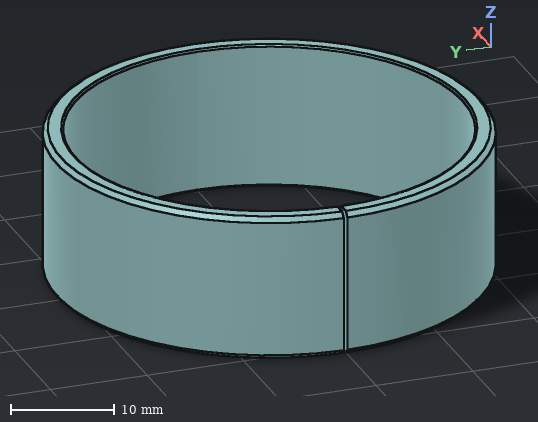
import cadquery as cq
import math

outer_diameter = 44.0
inner_diameter = 40.0
ring_height = 15.0
outer_chamfer = 0.5
inner_chamfer = 0.2
slit_angle = 1.0

outer_radius = outer_diameter / 2
inner_radius = inner_diameter / 2


def chamfered_ring():
    """Ring standing on Z = 0, with chamfered outer and inner rims at both ends."""
    top_outer_rim = ring_height - outer_chamfer
    top_inner_rim = ring_height - inner_chamfer
    profile = [
        (inner_radius, inner_chamfer),
        (inner_radius + inner_chamfer, 0),
        (outer_radius - outer_chamfer, 0),
        (outer_radius, outer_chamfer),
        (outer_radius, top_outer_rim),
        (outer_radius - outer_chamfer, ring_height),
        (inner_radius + inner_chamfer, ring_height),
        (inner_radius, top_inner_rim),
    ]
    return cq.Workplane("XZ").polyline(profile).close().revolve(360, (0, 0), (0, 1))


def slit_cutter():
    """Thin wedge from the Z axis past the -X side, with one face on the XZ plane."""
    reach = outer_diameter
    opening = reach * math.tan(math.radians(slit_angle))
    outline = [(0, 0), (-reach, 0), (-reach, opening)]
    return cq.Workplane("XY").polyline(outline).close().extrude(ring_height)


result = chamfered_ring().cut(slit_cutter())